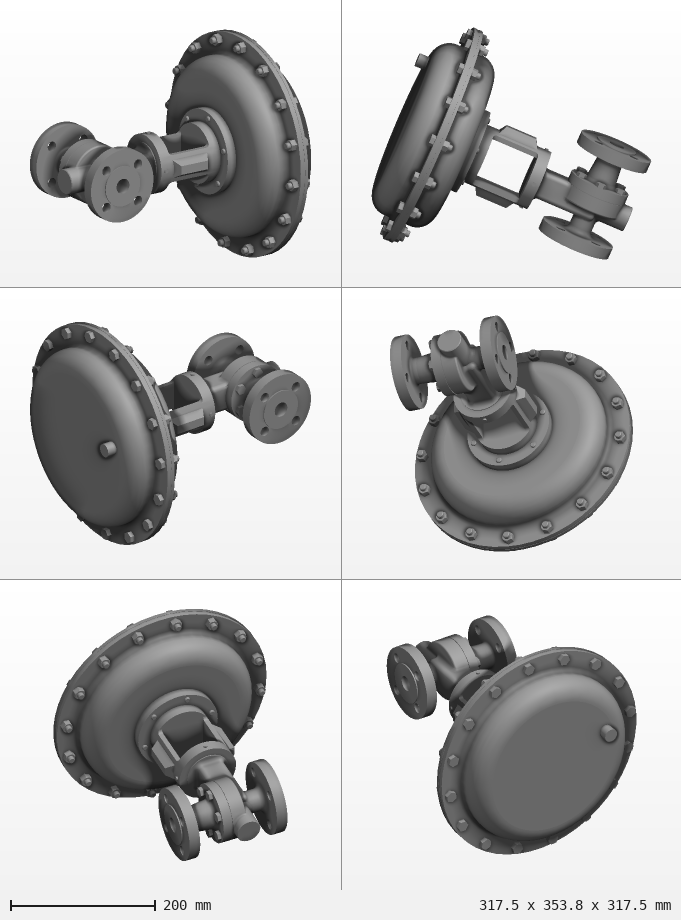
import cadquery as cq
import math


casing_diameter = 317.5
casing_flange_bottom = 232.3
casing_flange_top = 244.8
diaphragm_bottom = 236.9
diaphragm_top = 240.0
diaphragm_inset = 0.5
dome_radius = 128.0
dome_corner_radius = 27.3
dome_root_radius = 6.5
dome_bottom = 192.0
dome_top = 284.2

casing_bolt_count = 16
casing_bolt_first_angle = 15.0
casing_bolt_circle_radius = 147.4
casing_bolt_diameter = 9.5
casing_bolt_end = 218.2
casing_hex_width = 14.3
casing_nut_height = 8.6
casing_head_height = 6.5
casing_head_turn = 30.0
nut_chamfer_rise = 1.2
bolt_tip_chamfer = 1.0

air_port_x = -83.7
air_port_z = 28.7
air_port_radius = 9.6
valve_bottom = -55.5
overall_length = 353.82
air_port_top = valve_bottom + overall_length

plate_radius = 60.3
plate_bottom = 178.1
plate_screw_count = 6
plate_screw_first_angle = 15.0
plate_screw_circle_radius = 52.5
plate_screw_head_diameter = 8.2
plate_screw_chamfer = 1.0
plate_screw_head_height = 2.8

yoke_radius = 42.8
yoke_bottom = 78.8
window_bottom = 95.4
window_top = 163.1
window_half_width = 31.2
arm_half_thickness = 19.6
arm_corner_radius = 5.0
ring_screw_count = 4
ring_screw_diameter = 5.6
ring_screw_projection = 2.2
ring_screw_y = 86.3

pad_tip_x = 52.7
pad_tip_length = 44.7
pad_tip_width = 12.6
pad_depth = 15.0
pad_flare = pad_depth * math.tan(math.radians(29.0))
pad_y = 127.9

neck_disc_radius = 31.7
neck_disc_bottom = 77.5
neck_left = -17.2
neck_right = 21.7
neck_half_thickness = 20.8
neck_corner_radius = 6.5
neck_root_radius = 6.5
neck_bottom = -10.4
neck_bottom_radius = 6.0

post_x = 1.45
post_radius = 17.8
post_chamfer = 1.0
post_top = 30.0

body_radius = 42.8
body_neck_fillet = 6.0
body_post_fillet = 3.0
outlet_neck_fillet = 4.0
outlet_post_fillet = 6.0
body_right = 5.2
body_edge_radius = 2.5
joint_gap = 1.0
joint_gap_depth = 1.0
cover_left = -30.8

cover_bolt_count = 6
cover_bolt_first_angle = 30.0
cover_bolt_circle_radius = 33.4
cover_bolt_hex_width = 13.0
cover_bolt_head_height = 5.3

inlet_face = -88.6
outlet_face = 63.2
raised_face_height = 1.8
raised_face_radius = 29.0
flange_thickness = 16.0
flange_radius = 52.5
flange_hole_count = 4
flange_hole_first_angle = 45.0
flange_hole_circle_radius = 37.5
flange_hole_diameter = 14.0
bore_diameter = 21.5
bore_depth = cover_left - inlet_face

inlet_neck_radius = 18.5
inlet_cone_start_x = -61.0
inlet_cone_end_radius = 21.0
inlet_root_fillet = 6.0
inlet_flange_fillet = 3.5
outlet_neck_radius = 16.2
outlet_flange_fillet = 8.0

selection_margin = 0.1
diag = math.sqrt(0.5)


def y_cylinder(radius, start, end, x=0, z=0):
    """Cylinder along Y between two heights."""
    return cq.Workplane("XY").add(
        cq.Solid.makeCylinder(radius, end - start, cq.Vector(x, start, z), cq.Vector(0, 1, 0))
    )


def x_cylinder(radius, start, end, y=0, z=0):
    """Cylinder along X between two positions."""
    return cq.Workplane("XY").add(
        cq.Solid.makeCylinder(radius, end - start, cq.Vector(start, y, z), cq.Vector(1, 0, 0))
    )


def hex_circle(width):
    """Diameter of the circle through the corners of a hexagon of this width across flats."""
    return width / math.cos(math.pi / 6)


def circle_angles(count, first_angle):
    """Evenly spaced angles in degrees."""
    return [first_angle + i * 360.0 / count for i in range(count)]


def edges_within(low, high):
    """Selector for the edges that lie wholly inside a box."""
    return cq.selectors.BoxSelector(low, high, boundingbox=True)


def casing():
    """Two pressed domes with flat rims, clamped on the diaphragm."""
    rim = casing_diameter / 2
    root = dome_root_radius
    corner = dome_corner_radius
    inner = rim - diaphragm_inset
    flat_radius = dome_radius - corner
    root_mid = dome_radius + root * (1 - diag)
    corner_mid = flat_radius + corner * diag
    outline = (
        cq.Workplane("XY")
        .moveTo(0, dome_bottom)
        .lineTo(flat_radius, dome_bottom)
        .threePointArc(
            (corner_mid, dome_bottom + corner * (1 - diag)), (dome_radius, dome_bottom + corner)
        )
        .lineTo(dome_radius, casing_flange_bottom - root)
        .threePointArc(
            (root_mid, casing_flange_bottom - root * (1 - diag)),
            (dome_radius + root, casing_flange_bottom),
        )
        .lineTo(rim, casing_flange_bottom)
        .lineTo(rim, diaphragm_bottom)
        .lineTo(inner, diaphragm_bottom)
        .lineTo(inner, diaphragm_top)
        .lineTo(rim, diaphragm_top)
        .lineTo(rim, casing_flange_top)
        .lineTo(dome_radius + root, casing_flange_top)
        .threePointArc(
            (root_mid, casing_flange_top + root * (1 - diag)),
            (dome_radius, casing_flange_top + root),
        )
        .lineTo(dome_radius, dome_top - corner)
        .threePointArc((corner_mid, dome_top - corner * (1 - diag)), (flat_radius, dome_top))
        .lineTo(0, dome_top)
        .close()
    )
    return outline.revolve(360, (0, 0, 0), (0, 1, 0))


def casing_bolt():
    """One bolt on the +X side: head above the rim, chamfered nut and bolt end below it."""
    corner_diameter = hex_circle(casing_hex_width)
    nut_bottom = casing_flange_bottom - casing_nut_height
    head = (
        cq.Workplane("XZ", origin=(0, casing_flange_top, 0))
        .polygon(6, corner_diameter)
        .extrude(-casing_head_height)
        .rotate((0, 0, 0), (0, 1, 0), casing_head_turn)
    )
    nut_envelope = (
        y_cylinder(corner_diameter / 2, nut_bottom, casing_flange_bottom)
        .faces("<Y")
        .chamfer(nut_chamfer_rise, (corner_diameter - casing_hex_width) / 2)
    )
    nut = (
        cq.Workplane("XZ", origin=(0, casing_flange_bottom, 0))
        .polygon(6, corner_diameter)
        .extrude(casing_nut_height)
        .intersect(nut_envelope)
    )
    shank = (
        y_cylinder(casing_bolt_diameter / 2, casing_bolt_end, casing_flange_top)
        .faces("<Y")
        .chamfer(bolt_tip_chamfer)
    )
    return head.union(shank).union(nut).translate((casing_bolt_circle_radius, 0, 0))


def plate_screw():
    """One chamfered screw head below the mounting plate, on the +X side."""
    return (
        y_cylinder(plate_screw_head_diameter / 2, plate_bottom - plate_screw_head_height, plate_bottom)
        .faces("<Y")
        .chamfer(plate_screw_chamfer)
        .translate((plate_screw_circle_radius, 0, 0))
    )


def around_y(feature, count, first_angle):
    """Copies of a feature spaced evenly around the Y axis."""
    copies = cq.Workplane("XY")
    for angle in circle_angles(count, first_angle):
        copies = copies.add(feature.rotate((0, 0, 0), (0, 1, 0), -angle))
    return copies


def side_pad(side):
    """Tapered rectangular pad on the outside of one yoke arm."""
    return (
        cq.Workplane("YZ", origin=(side * pad_tip_x, pad_y, 0))
        .rect(pad_tip_length, pad_tip_width)
        .workplane(offset=-side * pad_depth)
        .rect(pad_tip_length + 2 * pad_flare, pad_tip_width + 2 * pad_flare)
        .loft(ruled=True)
    )


def yoke():
    """Round yoke cut open between its two end rings, leaving two flat-sided arms."""
    body = y_cylinder(yoke_radius, yoke_bottom, plate_bottom)
    window_height = window_top - window_bottom
    window_y = (window_top + window_bottom) / 2
    across = 2 * yoke_radius + 2
    body = body.cut(
        cq.Workplane("XY").box(2 * window_half_width, window_height, across).translate((0, window_y, 0))
    )
    side_depth = yoke_radius - arm_half_thickness
    for side in (1, -1):
        side_cut = (
            cq.Workplane("XY")
            .box(across, window_height, side_depth)
            .faces("<Z" if side > 0 else ">Z")
            .edges("|X")
            .fillet(arm_corner_radius)
            .translate((0, window_y, side * (arm_half_thickness + side_depth / 2)))
        )
        body = body.cut(side_cut)
    for side in (1, -1):
        body = body.union(side_pad(side))
    for angle in circle_angles(ring_screw_count, 0):
        screw = x_cylinder(
            ring_screw_diameter / 2, window_half_width, yoke_radius + ring_screw_projection, y=ring_screw_y
        )
        body = body.union(screw.rotate((0, 0, 0), (0, 1, 0), angle))
    return body


def neck():
    """Rounded rectangular neck flaring onto a disc in the yoke ring; the disc trims the flare."""
    disc_top = window_bottom
    blank_side = 2 * yoke_radius
    blank = (
        cq.Workplane("XY")
        .box(blank_side, disc_top - neck_disc_bottom, blank_side)
        .translate((0, (disc_top + neck_disc_bottom) / 2, 0))
    )
    column = (
        cq.Workplane("XY")
        .box(neck_right - neck_left, neck_disc_bottom - neck_bottom, 2 * neck_half_thickness)
        .translate(((neck_left + neck_right) / 2, (neck_disc_bottom + neck_bottom) / 2, 0))
        .edges("|Y")
        .fillet(neck_corner_radius)
        .faces("<Y")
        .edges()
        .fillet(neck_bottom_radius)
    )
    root = cq.selectors.BoxSelector(
        (neck_left - 1, neck_disc_bottom - selection_margin, -neck_half_thickness - 1),
        (neck_right + 1, neck_disc_bottom + selection_margin, neck_half_thickness + 1),
    )
    flared = blank.union(column).edges(root).fillet(neck_root_radius)
    return flared.intersect(y_cylinder(neck_disc_radius, neck_bottom, disc_top))


def post():
    """Round post below the body, running up into the neck."""
    return y_cylinder(post_radius, valve_bottom, post_top, x=post_x).faces("<Y").chamfer(post_chamfer)


def body_disc():
    """Round valve body blended onto the neck and the lower post, without its cover."""
    margin = selection_margin
    disc = x_cylinder(body_radius, cover_left, body_right).faces(">X").edges().fillet(body_edge_radius)
    around_neck = edges_within(
        (neck_left + margin, neck_bottom - margin, -neck_half_thickness - margin),
        (body_right + margin, body_radius, neck_half_thickness + margin),
    )
    upper = neck().union(disc).edges(around_neck).fillet(body_neck_fillet)
    around_post = edges_within(
        (neck_left, -body_radius - margin, -post_radius - margin),
        (body_right + margin, body_radius, post_radius + margin),
    )
    lower = disc.union(post()).edges(around_post).fillet(body_post_fillet)
    hub = upper.union(lower)
    trim_width = 2 * (body_radius + body_neck_fillet)
    cover_space = cq.Workplane("XY").box(body_radius, trim_width, trim_width)
    return hub.cut(cover_space.translate((neck_left + joint_gap - body_radius / 2, 0, 0)))


def cover():
    """Bolted cover; a small step on its inner face leaves a groove at the joint."""
    step = x_cylinder(body_radius - joint_gap_depth, neck_left, neck_left + joint_gap)
    return x_cylinder(body_radius, cover_left, neck_left).union(step)


def cover_bolts():
    """Hexagon heads on the cover, each with two corners along Y."""
    heads = []
    for angle in circle_angles(cover_bolt_count, cover_bolt_first_angle):
        y = cover_bolt_circle_radius * math.cos(math.radians(angle))
        z = cover_bolt_circle_radius * math.sin(math.radians(angle))
        heads.append((y, z))
    return (
        cq.Workplane("YZ", origin=(cover_left, 0, 0))
        .pushPoints(heads)
        .polygon(6, hex_circle(cover_bolt_hex_width))
        .extrude(-cover_bolt_head_height)
    )


def pipe_flange(face, inward):
    """Pipe flange with raised face and bolt holes; inward is the X direction into the valve."""
    seat = face + inward * raised_face_height
    back = seat + inward * flange_thickness
    start = min(seat, back)
    end = max(seat, back)
    disc = x_cylinder(flange_radius, start, end)
    for angle in circle_angles(flange_hole_count, flange_hole_first_angle):
        y = flange_hole_circle_radius * math.cos(math.radians(angle))
        z = flange_hole_circle_radius * math.sin(math.radians(angle))
        disc = disc.cut(x_cylinder(flange_hole_diameter / 2, start, end, y, z))
    return disc.union(x_cylinder(raised_face_radius, min(face, seat), max(face, seat)))


def inlet_neck():
    """Turned inlet: fillet off the flange, short cylinder, cone, and flare onto the cover."""
    start = inlet_face + raised_face_height + flange_thickness
    fillet = inlet_flange_fillet
    root = inlet_root_fillet
    cone_end = cover_left - root
    return (
        cq.Workplane("XY")
        .moveTo(start, 0)
        .lineTo(start, inlet_neck_radius + fillet)
        .threePointArc(
            (start + fillet * (1 - diag), inlet_neck_radius + fillet * (1 - diag)),
            (start + fillet, inlet_neck_radius),
        )
        .lineTo(inlet_cone_start_x, inlet_neck_radius)
        .lineTo(cone_end, inlet_cone_end_radius)
        .threePointArc(
            (cover_left - root * (1 - diag), inlet_cone_end_radius + root * (1 - diag)),
            (cover_left, inlet_cone_end_radius + root),
        )
        .lineTo(cover_left, 0)
        .close()
        .revolve(360, (0, 0, 0), (1, 0, 0))
    )


def outlet_neck():
    """Turned outlet, flaring onto its flange."""
    end = outlet_face - raised_face_height - flange_thickness
    fillet = outlet_flange_fillet
    return (
        cq.Workplane("XY")
        .moveTo(0, 0)
        .lineTo(0, outlet_neck_radius)
        .lineTo(end - fillet, outlet_neck_radius)
        .threePointArc(
            (end - fillet * (1 - diag), outlet_neck_radius + fillet * (1 - diag)),
            (end, outlet_neck_radius + fillet),
        )
        .lineTo(end, 0)
        .close()
        .revolve(360, (0, 0, 0), (1, 0, 0))
    )


def outlet_joint():
    """Outlet pipe blended onto the neck above it and onto the lower post below it."""
    margin = selection_margin
    reach = outlet_neck_radius + margin
    pipe = outlet_neck()
    beside_neck = edges_within((neck_right - 1, 0, -reach), (neck_right + margin, reach, reach))
    upper = neck().union(pipe).edges(beside_neck).fillet(outlet_neck_fillet)
    beside_post = edges_within((0, -reach, -reach), (post_x + post_radius + margin, reach, reach))
    lower = post().union(pipe).edges(beside_post).fillet(outlet_post_fillet)
    return upper.union(lower)


def valve():
    """Valve body, cover, pipe ends and blind bores."""
    valve_body = body_disc().union(outlet_joint()).union(cover()).union(inlet_neck())
    valve_body = valve_body.union(pipe_flange(inlet_face, 1)).union(pipe_flange(outlet_face, -1))
    valve_body = valve_body.union(cover_bolts())
    bore_radius = bore_diameter / 2
    valve_body = valve_body.cut(x_cylinder(bore_radius, inlet_face, inlet_face + bore_depth))
    return valve_body.cut(x_cylinder(bore_radius, outlet_face - bore_depth, outlet_face))


def actuator():
    """Casing with its bolts, air connection and mounting plate."""
    shell = casing().union(y_cylinder(plate_radius, plate_bottom, dome_bottom))
    shell = shell.union(
        y_cylinder(air_port_radius, dome_top - dome_corner_radius, air_port_top, air_port_x, air_port_z)
    )
    for bolt in around_y(casing_bolt(), casing_bolt_count, casing_bolt_first_angle).vals():
        shell = shell.union(cq.Workplane("XY").add(bolt))
    for screw in around_y(plate_screw(), plate_screw_count, plate_screw_first_angle).vals():
        shell = shell.union(cq.Workplane("XY").add(screw))
    return shell


result = actuator().union(yoke()).union(valve())